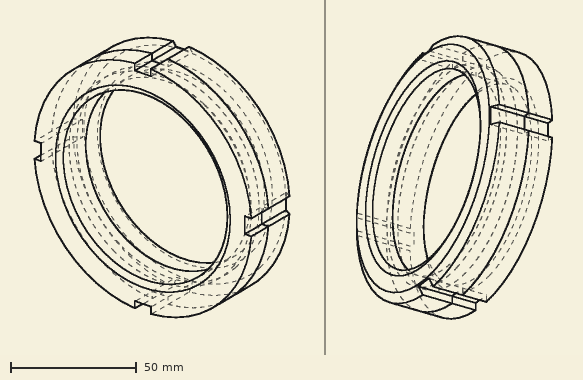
import cadquery as cq
import math

SPAN = 109.7
WIDTH = 27.0

SLOT_COUNT = 4
SLOT_WIDTH = 8.0
SLOT_DEPTH = 3.3

BORE_RADIUS = 41.5
BORE_CHAMFER_RADIAL = 2.7
RIM_CHAMFER_RADIAL = 4.0
CHAMFER_ANGLE = 30.0
CHAMFER_SLOPE = math.tan(math.radians(CHAMFER_ANGLE))
BORE_CHAMFER_AXIAL = BORE_CHAMFER_RADIAL * CHAMFER_SLOPE
RIM_CHAMFER_AXIAL = RIM_CHAMFER_RADIAL * CHAMFER_SLOPE

RIM_JOINT = 11.0
SPIGOT_LENGTH = 5.0
SPIGOT_RADIUS = 46.1
JOINT_GAP = 0.1
SPIGOT_END = RIM_JOINT + SPIGOT_LENGTH
BACK_RIM_START = RIM_JOINT + JOINT_GAP
RECESS_FLOOR = SPIGOT_END + JOINT_GAP

OUTER_RADIUS = math.hypot(SPAN / 2, SLOT_WIDTH / 2)


def revolve_about_y(profile):
    """Turn (radius, y) points into a ring around the Y axis."""
    return cq.Workplane("XY").polyline(profile).close().revolve(360, (0, 0), (0, 1))


def cut_slots(ring):
    """Cut the spanner slots across the full width of a ring."""
    floor_radius = SPAN / 2 - SLOT_DEPTH
    slot = cq.Workplane("XY").box(SLOT_WIDTH, WIDTH, SPAN, centered=(True, False, False))
    slot = slot.translate((0, 0, floor_radius))
    for i in range(SLOT_COUNT):
        ring = ring.cut(slot.rotate((0, 0, 0), (0, 1, 0), i * 360 / SLOT_COUNT))
    return ring


def make_front_ring():
    """Front ring, with a chamfered bore mouth and a spigot at its back."""
    return cut_slots(revolve_about_y([
        (BORE_RADIUS + BORE_CHAMFER_RADIAL, 0),
        (OUTER_RADIUS, 0),
        (OUTER_RADIUS, RIM_JOINT),
        (SPIGOT_RADIUS, RIM_JOINT),
        (SPIGOT_RADIUS, SPIGOT_END),
        (BORE_RADIUS, SPIGOT_END),
        (BORE_RADIUS, BORE_CHAMFER_AXIAL),
    ]))


def make_back_ring():
    """Back ring, recessed for the spigot and chamfered at its rim and bore mouth."""
    return cut_slots(revolve_about_y([
        (BORE_RADIUS, RECESS_FLOOR),
        (SPIGOT_RADIUS, RECESS_FLOOR),
        (SPIGOT_RADIUS, BACK_RIM_START),
        (OUTER_RADIUS, BACK_RIM_START),
        (OUTER_RADIUS, WIDTH - RIM_CHAMFER_AXIAL),
        (OUTER_RADIUS - RIM_CHAMFER_RADIAL, WIDTH),
        (BORE_RADIUS + BORE_CHAMFER_RADIAL, WIDTH),
        (BORE_RADIUS, WIDTH - BORE_CHAMFER_AXIAL),
    ]))


front_ring = make_front_ring()
back_ring = make_back_ring()

result = cq.Compound.makeCompound([front_ring.val(), back_ring.val()])